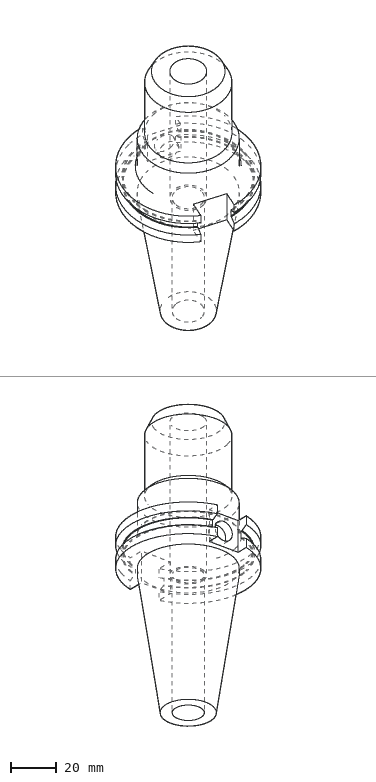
import cadquery as cq
import math

total_length = 144.5

taper_length = 68.3
taper_top_radius = 22.2
taper_ratio = 7 / 24
taper_end_radius = taper_top_radius - taper_length * taper_ratio / 2

flange_diameter = 63.4
flange_radius = flange_diameter / 2
flange_bottom = 71.6
flange_thickness = 15.7
flange_top = flange_bottom + flange_thickness
groove_center = flange_bottom + flange_thickness / 2
groove_root_radius = 28.3
groove_root_width = 3.6
groove_mouth_width = 7.0
groove_flank_angle = 30.0

body_radius = 22.2
body_foot_fillet = 0.9
shoulder_bottom = 104.3
nose_radius = 19.0
shoulder_top = shoulder_bottom + body_radius - nose_radius
tip_radius = 16.0
tip_chamfer_height = 6.5

bore_diameter = 16.0
pilot_diameter = 14.0
bore_depth = total_length - taper_length

slot_width = 16.0
left_slot_floor = 25.0
right_slot_floor = 22.8

pocket_diameter = 9.5
pocket_depth = 4.6


def make_body():
    """Revolve the half outline of taper, flange and nose about Z."""
    half_root = groove_root_width / 2
    half_mouth = groove_mouth_width / 2
    flank_depth = (half_mouth - half_root) / math.tan(math.radians(groove_flank_angle))
    flank_foot_radius = flange_radius - flank_depth
    below_foot_fillet = [
        (0, 0),
        (taper_end_radius, 0),
        (taper_top_radius, taper_length),
        (taper_top_radius, flange_bottom),
        (flange_radius, flange_bottom),
        (flange_radius, groove_center - half_mouth),
        (flank_foot_radius, groove_center - half_root),
        (groove_root_radius, groove_center - half_root),
        (groove_root_radius, groove_center + half_root),
        (flank_foot_radius, groove_center + half_root),
        (flange_radius, groove_center + half_mouth),
        (flange_radius, flange_top),
        (body_radius + body_foot_fillet, flange_top),
    ]
    foot_fillet_end = (body_radius, flange_top + body_foot_fillet)
    above_foot_fillet = [
        (body_radius, shoulder_bottom),
        (nose_radius, shoulder_top),
        (nose_radius, total_length - tip_chamfer_height),
        (tip_radius, total_length),
        (0, total_length),
    ]
    profile = cq.Workplane("XZ").polyline(below_foot_fillet)
    profile = profile.radiusArc(foot_fillet_end, body_foot_fillet)
    profile = profile.polyline(above_foot_fillet, includeCurrent=True).close()
    return profile.revolve(360, (0, 0), (0, 1))


def make_slot(side, floor):
    """Cutter for one drive slot; side is -1 for -X and +1 for +X.

    It rises past the flange to trim the foot fillet where it would overhang the slot.
    """
    depth = flange_radius - floor
    height = flange_thickness + body_foot_fillet
    return (
        cq.Workplane("XY", origin=(side * (floor + depth / 2), 0, flange_bottom))
        .rect(depth, slot_width)
        .extrude(height)
    )


def make_pocket():
    """Cutter for the round pocket, sunk along +X from the left slot floor."""
    return (
        cq.Workplane("YZ", origin=(-left_slot_floor, 0, groove_center))
        .circle(pocket_diameter / 2)
        .extrude(pocket_depth)
    )


holder = make_body()
holder = holder.faces(">Z").workplane().cboreHole(pilot_diameter, bore_diameter, bore_depth)
holder = holder.cut(make_slot(-1, left_slot_floor))
holder = holder.cut(make_slot(1, right_slot_floor))
result = holder.cut(make_pocket())